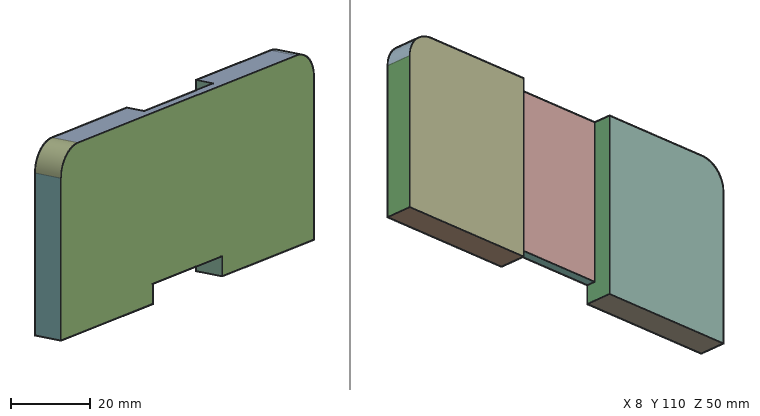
import cadquery as cq

thickness = 8.0
length = 110.0
height = 50.0
corner_radius = 7.5

channel_width = 30.0
channel_depth = 5.3
notch_height = 5.3


def rounded_plate():
    """Upright plate resting on Z = 0, with its two top corners rounded."""
    plate = cq.Workplane("XY").box(thickness, length, height, centered=(True, True, False))
    return plate.edges("|X").edges(">Z").fillet(corner_radius)


def central_cutter(depth, cut_height):
    """Block as wide as the channel, reaching in from the -X face and up from the base."""
    block = cq.Workplane("XY").box(depth, channel_width, cut_height, centered=(False, True, False))
    return block.translate((-thickness / 2, 0, 0))


channel = central_cutter(channel_depth, height)
notch = central_cutter(thickness, notch_height)

result = rounded_plate().cut(channel).cut(notch)